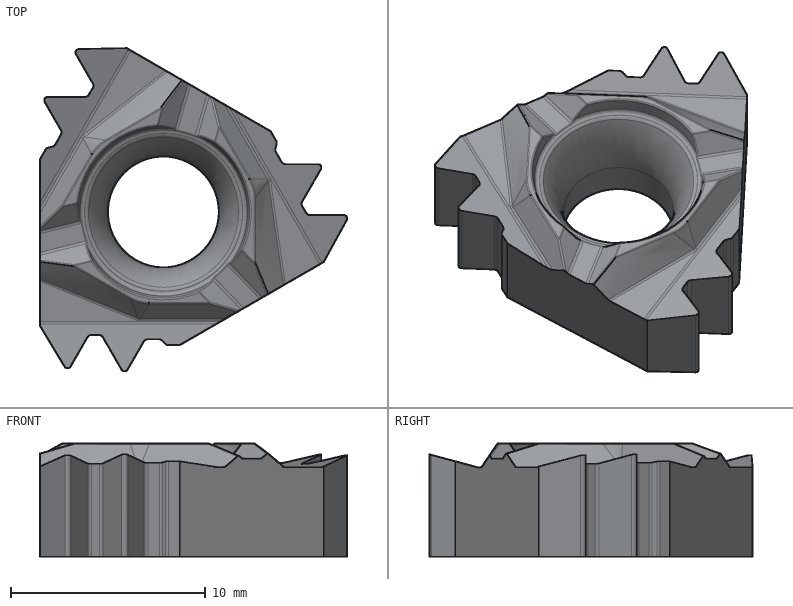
import cadquery as cq
import math

SIDE_ANGLES = (0, 120, 240)

height = 5.85
floor_z = 4.61
slot_floor_z = 5.06

flank_distance = 6.36
corner_y = -5.86
outer_tip_x, outer_tip_y = -4.93, -8.05
inner_tip_x, inner_tip_y = -2.0, -8.21
outer_root_y = -6.35
inner_root_y = -6.56
crest_y = -6.86
ramp_start_x = -0.13
tooth_half_angle = math.radians(30)
tip_radius = 0.18
root_radius = 0.22

rake_start_y = -5.7
rake_angle = math.radians(15)
rake_fillet = 0.53

boss_top_distance = 4.7
boss_base_distance = 5.53
boss_corner_x = -1.27
top_sweep = math.radians(30)
base_sweep = math.radians(21.7)
boss_top_radius = 2.0
boss_base_radius = 0.17
boss_foot_fillet = 0.15
boss_edge_fillet = 0.08

slot_angle = -46
slot_half_floor = 0.55
slot_half_top = 1.53
slot_fillet = 0.23

hole_radius = 5.7 / 2
bell_bottom_z = 2.0
bell_radius = 3.95
rim_z = 5.0
recess_base_radius = 4.28
recess_top_radius = 4.45
rim_fillet = 0.25

reach = 13.33
tolerance = 0.002


def turned(point, degrees):
    """Turn an XY point about the hole axis."""
    angle = math.radians(degrees)
    x, y = point
    return (x * math.cos(angle) - y * math.sin(angle), x * math.sin(angle) + y * math.cos(angle))


def around(body, angle):
    """Turn a body about the hole axis."""
    return body.rotate((0, 0, 0), (0, 0, 1), angle)


def rounded_loop(corners, z):
    """Closed workplane wire at height z through (point, radius) corners, rounded where radius > 0."""
    pieces = []
    for i, (point, radius) in enumerate(corners):
        corner = cq.Vector(*point)
        to_previous = (cq.Vector(*corners[i - 1][0]) - corner).normalized()
        to_next = (cq.Vector(*corners[(i + 1) % len(corners)][0]) - corner).normalized()
        if radius == 0:
            pieces.append((corner,))
            continue
        half_angle = to_previous.getAngle(to_next) / 2
        start = corner + to_previous * (radius / math.tan(half_angle))
        end = corner + to_next * (radius / math.tan(half_angle))
        bisector = (to_previous + to_next).normalized()
        middle = corner + bisector * (radius / math.sin(half_angle) - radius)
        pieces.append((start, middle, end))

    def flat(vector):
        return (vector.x, vector.y)

    loop = cq.Workplane("XY", origin=(0, 0, z)).moveTo(*flat(pieces[0][-1]))
    for piece in pieces[1:] + pieces[:1]:
        loop = loop.lineTo(*flat(piece[0]))
        if len(piece) == 3:
            loop = loop.threePointArc(flat(piece[1]), flat(piece[2]))
    return loop.close()


def side_corners():
    """Outline corners of one toothed side with their rounding radii."""
    slope = math.tan(tooth_half_angle)
    sharpening = tip_radius / math.sin(tooth_half_angle) - tip_radius
    outer_apex_y = outer_tip_y - sharpening
    inner_apex_y = inner_tip_y - sharpening
    ramp_end_x = ramp_start_x + inner_root_y - crest_y
    return [
        ((-flank_distance, corner_y), 0),
        ((outer_tip_x, outer_apex_y), tip_radius),
        ((outer_tip_x + (outer_root_y - outer_apex_y) * slope, outer_root_y), root_radius),
        ((inner_tip_x - (outer_root_y - inner_apex_y) * slope, outer_root_y), root_radius),
        ((inner_tip_x, inner_apex_y), tip_radius),
        ((inner_tip_x + (inner_root_y - inner_apex_y) * slope, inner_root_y), root_radius),
        ((ramp_start_x, inner_root_y), root_radius),
        ((ramp_end_x, crest_y), root_radius),
        ((2 * (flank_distance + crest_y * math.cos(math.pi / 6)), crest_y), 0),
    ]


def make_blank():
    corners = [(turned(p, a), r) for a in SIDE_ANGLES for p, r in side_corners()]
    return rounded_loop(corners, 0).extrude(height)


def boss_section(distance, sweep, radius, z):
    """Six-sided boss section: straight and swept walls alternate around the hole axis."""
    bend = (boss_corner_x, -distance)
    next_bend = turned(bend, SIDE_ANGLES[1])
    heading = math.radians(SIDE_ANGLES[1]) + math.pi - sweep
    run = (-distance - next_bend[1]) / math.sin(heading)
    far = (next_bend[0] + run * math.cos(heading), -distance)
    corners = []
    for angle in SIDE_ANGLES:
        corners += [(turned(bend, angle), radius), (turned(far, angle), 0)]
    return rounded_loop(corners, z).wires().val()


def make_boss():
    base = boss_section(boss_base_distance, base_sweep, boss_base_radius, floor_z)
    top = boss_section(boss_top_distance, top_sweep, boss_top_radius, height)
    return cq.Workplane(cq.Solid.makeLoft([base, top], True))


def make_rake_wedge():
    """Bar along one side whose top curves up from the floor into the sloped rake band."""
    tangent = rake_fillet * math.tan(rake_angle / 2)
    curve_start_y = rake_start_y + tangent

    def on_curve(angle):
        drop = rake_fillet * math.sin(angle)
        return (curve_start_y - drop, floor_z + rake_fillet * (1 - math.cos(angle)))

    end_z = floor_z + (reach + rake_start_y) * math.tan(rake_angle)
    return (
        cq.Workplane("YZ", origin=(-reach, 0, 0))
        .moveTo(curve_start_y, 0)
        .lineTo(curve_start_y, floor_z)
        .threePointArc(on_curve(rake_angle / 2), on_curve(rake_angle))
        .lineTo(-reach, end_z)
        .lineTo(-reach, 0)
        .close()
        .extrude(2 * reach)
    )


def make_slot():
    slope = (slot_half_top - slot_half_floor) / (height - slot_floor_z)
    mouth_z = height + slot_half_floor
    half_mouth = slot_half_floor + (mouth_z - slot_floor_z) * slope
    profile = (
        cq.Workplane("YZ")
        .moveTo(-slot_half_floor, slot_floor_z)
        .lineTo(slot_half_floor, slot_floor_z)
        .lineTo(half_mouth, mouth_z)
        .lineTo(-half_mouth, mouth_z)
        .close()
        .extrude(reach)
    )
    return profile.edges("|X and <Z").fillet(slot_fillet).rotate((0, 0, 0), (0, 0, 1), slot_angle)


def make_bore():
    depth = rim_z - bell_bottom_z
    flare = bell_radius - hole_radius
    arc_radius = (depth ** 2 + flare ** 2) / (2 * flare)
    half_sweep = math.asin(depth / arc_radius) / 2
    middle = (
        hole_radius + arc_radius * (1 - math.cos(half_sweep)),
        bell_bottom_z + arc_radius * math.sin(half_sweep),
    )
    bore = (
        cq.Workplane("XZ")
        .lineTo(hole_radius, 0)
        .lineTo(hole_radius, bell_bottom_z)
        .threePointArc(middle, (bell_radius, rim_z))
        .lineTo(recess_base_radius, rim_z)
        .lineTo(recess_top_radius, height)
        .lineTo(0, height)
        .close()
        .revolve(360, (0, 0, 0), (0, 1, 0))
    )
    return bore.faces("|Z").faces(">Z[-2]").edges().fillet(rim_fillet)


def slot_side_edges(core):
    """Edges of the slot walls that drop from the top face of the boss."""
    found = []
    for edge in core.edges().vals():
        heights = [vertex.Z for vertex in edge.Vertices()]
        reaches_top = abs(max(heights) - height) < tolerance
        drops_from_top = reaches_top and min(heights) < height - boss_edge_fillet
        center = edge.Center()
        for angle in SIDE_ANGLES:
            along, across = turned((center.x, center.y), -slot_angle - angle)
            if drops_from_top and along > 0 and abs(across) < slot_half_top:
                found.append(edge)
    return found


def make_core():
    """Wide floor slab with the boss, its bore and its slots, all edges blended."""
    inside_slab = reach - tolerance
    foot_zone = cq.selectors.BoxSelector(
        (-inside_slab, -inside_slab, 0), (inside_slab, inside_slab, height)
    )
    slab = cq.Workplane("XY").rect(2 * reach, 2 * reach).extrude(floor_z)
    core = slab.union(make_boss())
    floor = core.faces("|Z").faces(">Z[-2]")
    core = floor.edges().edges(foot_zone).fillet(boss_foot_fillet)

    core = core.cut(make_bore())
    slot = make_slot()
    for angle in SIDE_ANGLES:
        core = core.cut(around(slot, angle))
    edges = core.faces(">Z").edges().add(slot_side_edges(core))
    return edges.fillet(boss_edge_fillet)


blank = make_blank()
wedge = make_rake_wedge()
result = blank.intersect(make_core())
for side_angle in SIDE_ANGLES:
    result = result.union(blank.intersect(around(wedge, side_angle)))